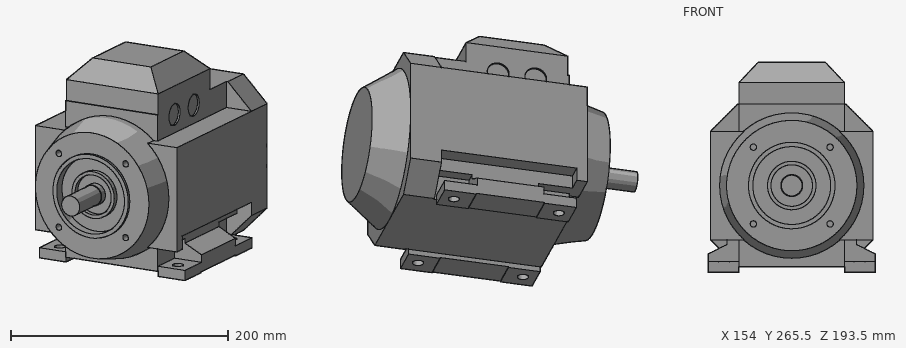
import cadquery as cq
import math


total_length = 265.5
total_height = 193.5
axis_height = 80.0
sole_z = -axis_height
top_z = total_height - axis_height

shaft_radius = 9.5
shaft_length = 40.0
shoulder_radius = 10.0
rear_y = total_length - shaft_length

bell_radius = 67.0
bell_face_radius = 60.0
bell_taper_length = 28.1
spigot_radius = 39.8
spigot_height = 3.0
recess_radius = 35.8
recess_floor_y = 7.0
hub_radius = 22.3
hub_bore_radius = 19.0
hub_face_y = 1.9
hub_floor_y = recess_floor_y
bolt_circle_radius = 50.0
bolt_hole_radius = 3.0
bolt_hole_depth = 10.5

body_half = 75.0
corner_cut = 25.0
side_half_height = body_half - corner_cut
side_front_y = 26.0
column_half_width = 48.5
column_front_y = 36.0
column_rear_y = 165.1
body_rear_y = 194.5
rear_cap_radius = 53.4
notch_half_width = 59.5
notch_top_z = -37.2

box_front_y = 37.5
box_rear_y = 134.5
lid_bevel_z = 94.8
lid_bevel = 17.8
gland_radius = 10.4
gland_depth = 1.9
gland_z = 67.5
gland_places_y = (68.0, 103.8)

foot_half_span = 77.0
foot_thickness = 9.8
foot_front_y = 37.2
foot_rear_y = 162.8
foot_top_z = sole_z + foot_thickness
rib_front_y = 68.2
rib_rear_y = 131.7
rib_outer_z = -63.0
rib_inner_z = -54.2
sole_relief_height = 0.8
sole_relief_overlap = 0.8
foot_hole_radius = 5.0
foot_hole_x = 62.5
foot_hole_spacing = 100.0


def block(x0, x1, y0, y1, z0, z1):
    """Box between two opposite corners."""
    return cq.Workplane("XY").box(x1 - x0, y1 - y0, z1 - z0, centered=False).translate((x0, y0, z0))


def disc(radius, y0, y1):
    """Cylinder around the shaft axis from y0 to y1."""
    return cq.Workplane("XZ", origin=(0, y1, 0)).circle(radius).extrude(y1 - y0)


def turned(profile):
    """Solid turned around the shaft axis from (radius, y) points."""
    return cq.Workplane("XY").polyline(profile).close().revolve(360, (0, 0, 0), (0, 1, 0))


def make_housing():
    sides = block(-body_half, body_half, side_front_y, body_rear_y, -side_half_height, side_half_height)
    for x0, x1 in ((-body_half, -notch_half_width), (notch_half_width, body_half)):
        sides = sides.cut(block(x0, x1, column_front_y, column_rear_y, -side_half_height, notch_top_z))
    column = block(
        -column_half_width, column_half_width, column_front_y, column_rear_y, -body_half, body_half
    )
    rear_frame = block(-body_half, body_half, column_rear_y, body_rear_y, -body_half, body_half)
    rear_frame = rear_frame.edges("|Y").chamfer(corner_cut)
    rear_cap = turned([(0, body_rear_y), (body_half, body_rear_y), (rear_cap_radius, rear_y), (0, rear_y)])
    return sides.union(column).union(rear_frame).union(rear_cap)


def make_terminal_box():
    width = 2 * column_half_width
    depth = box_rear_y - box_front_y
    base = block(
        -column_half_width, column_half_width, box_front_y, box_rear_y, side_half_height, lid_bevel_z
    )
    lid = (
        cq.Workplane("XY", origin=(0, (box_front_y + box_rear_y) / 2, lid_bevel_z))
        .rect(width, depth)
        .workplane(offset=top_z - lid_bevel_z)
        .rect(width - 2 * lid_bevel, depth - 2 * lid_bevel)
        .loft(ruled=True)
    )
    return base.union(lid)


def make_gland_recesses():
    """Shallow round knockouts in both side walls below the lid."""
    places = [(y, gland_z) for y in gland_places_y]
    left = (
        cq.Workplane("YZ", origin=(-column_half_width, 0, 0))
        .pushPoints(places)
        .circle(gland_radius)
        .extrude(gland_depth)
    )
    return left.union(left.mirror("YZ"))


def make_foot():
    """Foot on the +X side: plate, sloping rib, relieved sole and two bolt holes."""
    plate = block(column_half_width, foot_half_span, foot_front_y, foot_rear_y, sole_z, foot_top_z)
    rib = (
        cq.Workplane("XZ", origin=(0, rib_rear_y, 0))
        .polyline([
            (column_half_width, foot_top_z),
            (foot_half_span, foot_top_z),
            (foot_half_span, rib_outer_z),
            (notch_half_width, rib_inner_z),
            (notch_half_width, -side_half_height),
            (column_half_width, -side_half_height),
        ])
        .close()
        .extrude(rib_rear_y - rib_front_y)
    )
    relief_front_y = rib_front_y - sole_relief_overlap
    relief_rear_y = rib_rear_y + sole_relief_overlap
    relief = block(
        column_half_width, foot_half_span, relief_front_y, relief_rear_y, sole_z, sole_z + sole_relief_height
    )
    middle_y = (foot_front_y + foot_rear_y) / 2
    holes = (
        cq.Workplane("XY", origin=(foot_hole_x, middle_y, sole_z))
        .pushPoints([(0, -foot_hole_spacing / 2), (0, foot_hole_spacing / 2)])
        .circle(foot_hole_radius)
        .extrude(foot_thickness)
    )
    return plate.union(rib).cut(relief).cut(holes)


def make_end_bell():
    bell = turned([
        (0, 0),
        (bell_face_radius, 0),
        (bell_radius, bell_taper_length),
        (bell_radius, column_front_y),
        (0, column_front_y),
    ])
    bell = bell.union(disc(spigot_radius, -spigot_height, 0))
    bell = bell.cut(disc(recess_radius, -spigot_height, recess_floor_y))
    bell = bell.union(disc(hub_radius, hub_face_y, recess_floor_y))
    bell = bell.cut(disc(hub_bore_radius, hub_face_y, hub_floor_y))
    bolt_spacing = bolt_circle_radius * math.sqrt(2)
    bolt_holes = (
        cq.Workplane("XZ")
        .rect(bolt_spacing, bolt_spacing, forConstruction=True)
        .vertices()
        .circle(bolt_hole_radius)
        .extrude(-bolt_hole_depth)
    )
    return bell.cut(bolt_holes)


def make_shaft():
    tip = disc(shaft_radius, -shaft_length, 0)
    return tip.union(disc(shoulder_radius, 0, column_front_y))


foot = make_foot()
result = (
    make_housing()
    .union(make_terminal_box())
    .cut(make_gland_recesses())
    .union(make_end_bell())
    .union(make_shaft())
    .union(foot)
    .union(foot.mirror("YZ"))
)